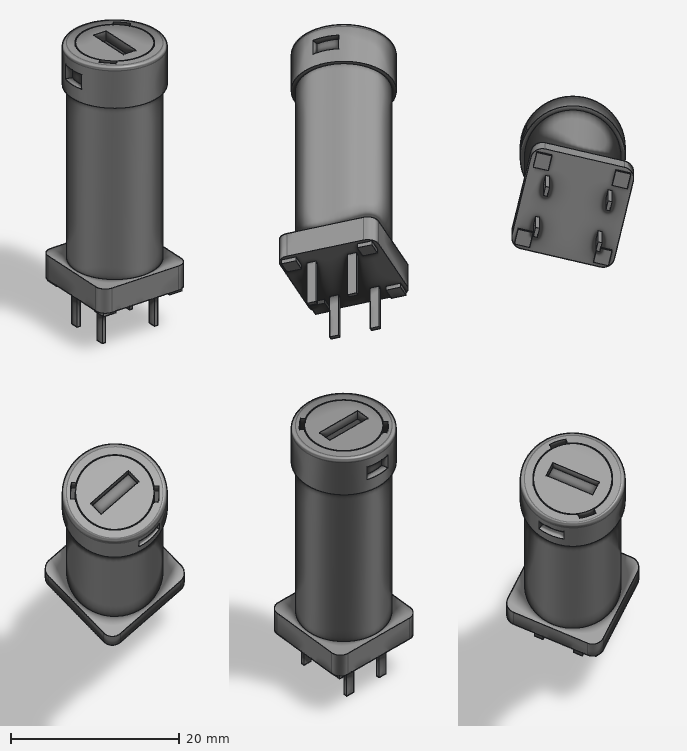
import cadquery as cq
import math

total_height = 37.8
pin_length = 5.8
base_height = 3.25
cap_height = 5.5
base_top = pin_length + base_height
cap_bottom = total_height - cap_height

base_side = 12.5
base_corner_radius = 1.4
tube_diameter = 11.5
cap_diameter = base_side
cap_edge_radius = (cap_diameter - tube_diameter) / 2
bore_diameter = 9.5

foot_side = 1.85
foot_height = 0.55
foot_offset = (tube_diameter - foot_side) / 2

window_width = 3.3
window_height = 1.95
window_center_z = 35.08
window_floor_radius = 5.35

notch_width = 2.05
notch_reach = 5.3
notch_depth = 1.9
notch_angles = (-45, 135)

insert_diameter = 9.3
slot_length = 6.1
slot_width = 1.85
slot_depth = 1.3

pin_width = 1.15
pin_thickness = 0.5
pin_spacing_x = 5.15
pin_spacing_y = 7.65


def cylinder(diameter, bottom, height):
    return cq.Workplane("XY").workplane(offset=bottom).circle(diameter / 2).extrude(height)


def make_feet():
    return (
        cq.Workplane("XY")
        .workplane(offset=pin_length)
        .rect(2 * foot_offset, 2 * foot_offset, forConstruction=True)
        .vertices()
        .rect(foot_side, foot_side)
        .extrude(-foot_height)
    )


def make_windows():
    """Two opposite ring sectors, on the -Y and +Y sides of the cap."""
    half_angle = math.asin(window_width / cap_diameter)
    sector_reach = cap_diameter
    half_span = sector_reach * math.tan(half_angle)
    bottom = window_center_z - window_height / 2
    sectors = (
        cq.Workplane("XY")
        .workplane(offset=bottom)
        .polyline([(0, 0), (half_span, sector_reach), (-half_span, sector_reach)])
        .close()
        .polyline([(0, 0), (half_span, -sector_reach), (-half_span, -sector_reach)])
        .close()
        .extrude(window_height)
    )
    return sectors.cut(cylinder(2 * window_floor_radius, bottom, window_height))


def make_notch(angle):
    """Parallel-sided notch with a round outer end; its inner part lies in the bore."""
    bottom = total_height - notch_depth
    strip = (
        cq.Workplane("XY")
        .workplane(offset=bottom)
        .center(notch_reach / 2, 0)
        .rect(notch_reach, notch_width)
        .extrude(notch_depth)
        .rotate((0, 0, 0), (0, 0, 1), angle)
    )
    return strip.intersect(cylinder(2 * notch_reach, bottom, notch_depth))


def make_housing():
    base = (
        cq.Workplane("XY")
        .workplane(offset=pin_length)
        .rect(base_side, base_side)
        .extrude(base_height)
        .edges("|Z")
        .fillet(base_corner_radius)
    )
    tube = cylinder(tube_diameter, base_top, cap_bottom - base_top)
    cap = cylinder(cap_diameter, cap_bottom, cap_height).faces(">Z").edges().fillet(cap_edge_radius)
    body = base.union(tube).union(cap).union(make_feet())
    body = body.cut(cylinder(bore_diameter, cap_bottom, cap_height))
    body = body.cut(make_windows())
    for angle in notch_angles:
        body = body.cut(make_notch(angle))
    return body


def make_insert():
    """Round insert standing on the bore floor, with a screwdriver slot in its top."""
    slot = (
        cq.Workplane("XY")
        .workplane(offset=total_height)
        .rect(slot_length, slot_width)
        .extrude(-slot_depth)
    )
    return cylinder(insert_diameter, cap_bottom, cap_height).cut(slot)


def make_pin(x, y):
    """Flat pin hanging from the underside of the base."""
    return cq.Workplane("XY").center(x, y).rect(pin_width, pin_thickness).extrude(pin_length)


housing = make_housing()
insert = make_insert()
pins = []
for side_x in (-1, 1):
    for side_y in (-1, 1):
        pins.append(make_pin(side_x * pin_spacing_x / 2, side_y * pin_spacing_y / 2).val())

result = cq.Compound.makeCompound([housing.val(), insert.val(), *pins])